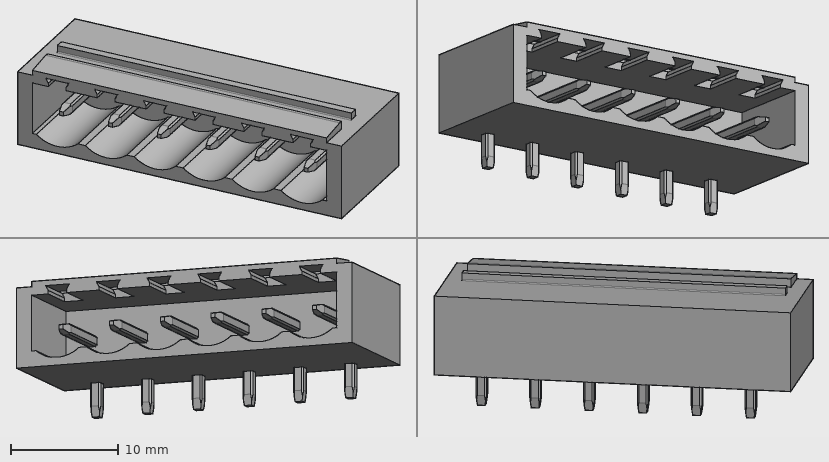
import cadquery as cq


pin_count = 6
pin_pitch = 5.1
station_x = [(i - (pin_count - 1) / 2) * pin_pitch for i in range(pin_count)]

housing_length = 33.68
housing_depth = 12.0
housing_height = 7.6
end_wall = 1.55
roof_thickness = 0.8
floor_thickness = 1.5
cavity_depth = 8.6
inner_length = housing_length - 2 * end_wall

trough_width = 4.3
trough_depth = 0.77

lip_depth = 3.1
lip_back_height = 0.8
lip_front_height = 0.5
lip_flat = 0.35

rail_front = 5.2
rail_width = 0.85
rail_height = 0.7
rail_fillet = 0.1

slot_depth = 4.1
slot_top_width = 2.35
slot_bottom_width = 1.85
slot_straight_height = 0.35

pin_width = 1.0
pin_chamfer = 0.17
contact_height = 3.77
contact_tip_y = 0.88
contact_tip_width = 0.4
contact_taper = 1.28
tail_back_distance = 2.1
tail_length = 3.2
tail_tip_width = 0.7
tail_taper = 1.0
tail_y = housing_depth - tail_back_distance


def side_extrusion(profile):
    """Extrude a closed YZ profile over the inner length, centred on X."""
    return profile.extrude(inner_length / 2, both=True)


def make_block():
    return cq.Workplane("XY").box(housing_length, housing_depth, housing_height, centered=(True, False, False))


def make_lip():
    profile = (
        cq.Workplane("YZ")
        .moveTo(0, housing_height)
        .lineTo(0, housing_height + lip_front_height)
        .lineTo(lip_depth - lip_flat, housing_height + lip_back_height)
        .lineTo(lip_depth, housing_height + lip_back_height)
        .lineTo(lip_depth, housing_height)
        .close()
    )
    return side_extrusion(profile)


def make_rail():
    """Rectangular rail with a concave fillet along both edges of its foot."""
    rail_back = rail_front + rail_width
    rail_top = housing_height + rail_height
    fillet_top = housing_height + rail_fillet
    profile = (
        cq.Workplane("YZ")
        .moveTo(rail_front - rail_fillet, housing_height)
        .radiusArc((rail_front, fillet_top), -rail_fillet)
        .lineTo(rail_front, rail_top)
        .lineTo(rail_back, rail_top)
        .lineTo(rail_back, fillet_top)
        .radiusArc((rail_back + rail_fillet, housing_height), -rail_fillet)
        .close()
    )
    return side_extrusion(profile)


def make_cavity():
    """Plug space with a flat roof and a floor scooped out below each pin."""
    cavity_top = housing_height - roof_thickness
    profile = cq.Workplane("XZ").moveTo(-inner_length / 2, cavity_top).lineTo(-inner_length / 2, floor_thickness)
    for x in station_x:
        profile = profile.lineTo(x - trough_width / 2, floor_thickness).threePointArc(
            (x, floor_thickness - trough_depth), (x + trough_width / 2, floor_thickness)
        )
    profile = profile.lineTo(inner_length / 2, floor_thickness).lineTo(inner_length / 2, cavity_top).close()
    return profile.extrude(-cavity_depth)


def make_keying_slot(x):
    slot_bottom = housing_height - roof_thickness
    flare_start = slot_bottom + slot_straight_height
    return (
        cq.Workplane("XZ")
        .moveTo(x - slot_bottom_width / 2, slot_bottom)
        .lineTo(x - slot_bottom_width / 2, flare_start)
        .lineTo(x - slot_top_width / 2, housing_height)
        .lineTo(x + slot_top_width / 2, housing_height)
        .lineTo(x + slot_bottom_width / 2, flare_start)
        .lineTo(x + slot_bottom_width / 2, slot_bottom)
        .close()
        .extrude(-slot_depth)
    )


def make_leg(length, taper_length, tip_width):
    """Square bar along +Z with chamfered edges, its pyramid-shaped tip at Z = 0."""
    bar = cq.Workplane("XY").rect(pin_width, pin_width).extrude(length).edges("|Z").chamfer(pin_chamfer)
    tip = (
        cq.Workplane("XY")
        .rect(tip_width, tip_width)
        .workplane(offset=taper_length)
        .rect(pin_width, pin_width)
        .loft()
    )
    shank = cq.Workplane("XY").workplane(offset=taper_length).rect(pin_width, pin_width).extrude(length)
    return bar.intersect(tip.union(shank))


def make_pin(x):
    """Contact leg pointing forward in the cavity, bent down into a solder tail."""
    contact_length = tail_y + pin_width / 2 - contact_tip_y
    contact = (
        make_leg(contact_length, contact_taper, contact_tip_width)
        .rotate((0, 0, 0), (1, 0, 0), -90)
        .translate((x, contact_tip_y, contact_height))
    )
    tail = make_leg(tail_length + contact_height + pin_width / 2, tail_taper, tail_tip_width).translate(
        (x, tail_y, -tail_length)
    )
    return contact.union(tail)


pins = [make_pin(x) for x in station_x]

housing = make_block().union(make_lip()).union(make_rail()).cut(make_cavity())
for x in station_x:
    housing = housing.cut(make_keying_slot(x))
for pin in pins:
    housing = housing.cut(pin)

result = cq.Compound.makeCompound([housing.val(), *[pin.val() for pin in pins]])